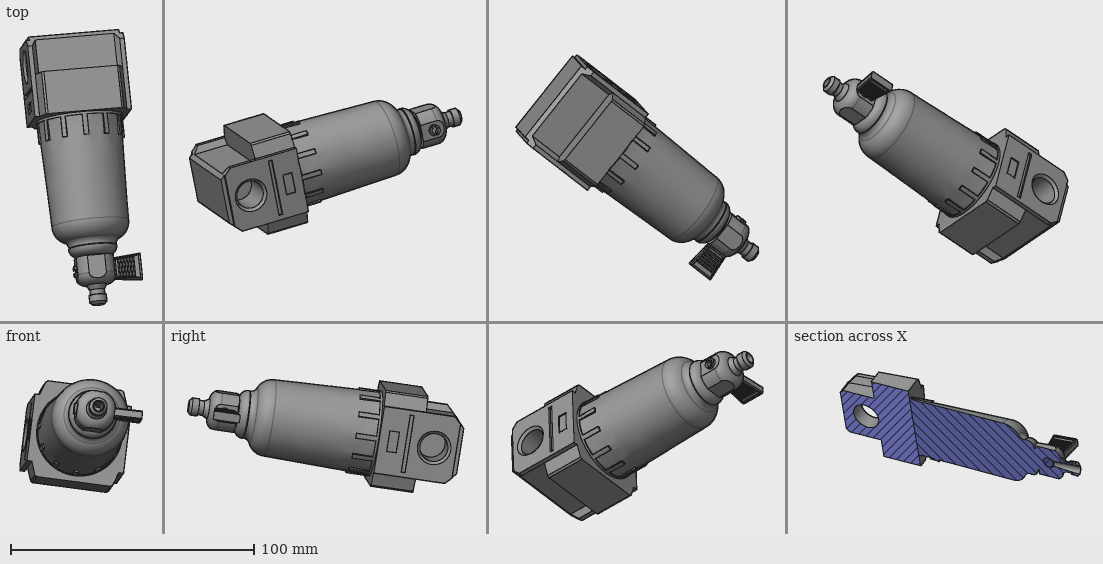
import cadquery as cq
import math


TILT_X, TILT_Y, TILT_Z = -8.4, 7.5, 4.8
HEAD_FACE_CENTRE = (-0.7, 20.5, 1.1)

HEAD_WIDTH = 40.2
HEAD_LENGTH = 34.0
PLATE_HEIGHT = 28.0
PLATE_END_CHAMFER = 4.4
END_STEP_WIDTH = 1.4
END_STEP_DEPTH = 1.7
FLANGE_LENGTH = 17.6
FLANGE_WIDTH = 32.0
FLANGE_EDGE_CHAMFER = 0.7
WAIST_HEIGHT = 22.5
WAIST_FLOOR_WIDTH = 32.7
FLANK_LEAN = 0.35
PLATE_TOP_WIDTH = 1.9
PORT_POSITION = 23.0
PORT_RADIUS = 5.8
PORT_MOUTH_RADIUS = 6.9
PORT_DEPTH = 15.2
GROOVE_POSITION = 11.9
GROOVE_WIDTH = 1.6
GROOVE_HEIGHT = 23.9
GROOVE_DEPTH = 1.0
LABEL_POSITION = 5.8
LABEL_WIDTH = 4.0
LABEL_HEIGHT = 8.6
LABEL_DEPTH = 0.6

RIM_RADIUS = 17.7
RIM_LENGTH = 1.0
BOWL_TOP_RADIUS = 17.3
BOWL_END_RADIUS = 15.9
BOWL_LENGTH = 44.2
BOWL_END_ROUNDING = 7.4
RIB_COUNT = 12
RIB_WIDTH = 2.0
RIB_LENGTH = 9.4
SHOULDER_RADIUS = 11.6
NECK_RADIUS = 9.8
COLLAR_START = 54.1
COLLAR_RADIUS = 10.0
COLLAR_ROUNDING = 3.6

COCK_START = 58.2
COCK_RADIUS = 8.5
COCK_FLAT_DISTANCE = 7.7
COCK_ROUND_START = 65.4
COCK_ROUNDING = 4.3
NOZZLE_ROOT_RADIUS = COCK_RADIUS - COCK_ROUNDING
NOZZLE_RADIUS = 3.1
NOZZLE_WAIST_START = 71.8
BARB_START = 74.0
BARB_RADIUS = 3.6
BARB_CHAMFER_START = 76.8
TIP_RADIUS = 2.4
TIP_POSITION = 77.9
OUTLET_RADIUS = 2.0
OUTLET_DEPTH = 12.5

LEVER_POSITION = 63.6
LEVER_REACH = 19.1
LEVER_ROOT_WIDTH = 8.6
LEVER_END_WIDTH = 10.9
LEVER_THICKNESS = 3.6
LEVER_RIM = 0.8
LEVER_EDGE_CHAMFER = 0.5
GRIP_DEPTH = 0.5
GRIP_RIB_COUNT = 6
GRIP_RIB_WIDTH = 0.6
GRIP_RIB_PITCH = 1.2
PIN_RADIUS = 2.3
PIN_PROTRUSION = 1.0
PIN_BORE_RADIUS = 1.4
PIN_BORE_DEPTH = 2.0
PIN_SLOT_WIDTH = 1.4


def box(x_size, y_size, z_size, centre):
    return cq.Workplane("XY").box(x_size, y_size, z_size).translate(centre)


def rod(radius, x_start, x_end, y):
    """Cylinder along X."""
    return cq.Workplane("YZ", origin=(x_start, y, 0)).circle(radius).extrude(x_end - x_start)


def plate_block():
    block = box(HEAD_WIDTH, HEAD_LENGTH, PLATE_HEIGHT, (0, HEAD_LENGTH / 2, 0))
    block = block.faces(">Y").edges("|X").chamfer(PLATE_END_CHAMFER)
    for side in (1, -1):
        step_corner = (side * HEAD_WIDTH / 2, HEAD_LENGTH, 0)
        block = block.cut(box(2 * END_STEP_WIDTH, 2 * END_STEP_DEPTH, PLATE_HEIGHT, step_corner))
    return block


def flange(side):
    """Trapezoid that widens from its outer face down to the level of the waist."""
    outer_z = HEAD_WIDTH / 2
    base_z = WAIST_HEIGHT / 2
    half_outer = FLANGE_WIDTH / 2
    half_base = half_outer + FLANK_LEAN * (outer_z - base_z)
    outline = [
        (-half_base, side * base_z),
        (half_base, side * base_z),
        (half_outer, side * outer_z),
        (-half_outer, side * outer_z),
    ]
    body = cq.Workplane("XZ").polyline(outline).close().extrude(-FLANGE_LENGTH)
    outer_face = ">Z" if side > 0 else "<Z"
    return body.faces(outer_face).edges("|Y").chamfer(FLANGE_EDGE_CHAMFER)


def waist_recess(side):
    """Space between the plates, with walls that lean outward."""
    rim_z = PLATE_HEIGHT / 2
    floor_z = WAIST_HEIGHT / 2
    half_rim = HEAD_WIDTH / 2 - PLATE_TOP_WIDTH
    half_floor = WAIST_FLOOR_WIDTH / 2
    outline = [
        (-half_floor, side * floor_z),
        (half_floor, side * floor_z),
        (half_rim, side * rim_z),
        (-half_rim, side * rim_z),
    ]
    return cq.Workplane("XZ").polyline(outline).close().extrude(-HEAD_LENGTH)


def port(side):
    """Blind port with a conical mouth."""
    face_x = HEAD_WIDTH / 2
    mouth_depth = PORT_MOUTH_RADIUS - PORT_RADIUS
    outline = [
        (face_x, 0),
        (face_x, PORT_MOUTH_RADIUS),
        (face_x - mouth_depth, PORT_RADIUS),
        (face_x - PORT_DEPTH, PORT_RADIUS),
        (face_x - PORT_DEPTH, 0),
    ]
    points = [(side * x, radius) for x, radius in outline]
    cutter = cq.Workplane("XY").polyline(points).close().revolve(360, (0, 0, 0), (1, 0, 0))
    return cutter.translate((0, PORT_POSITION, 0))


def make_head():
    head = plate_block()
    for side in (1, -1):
        head = head.cut(waist_recess(side)).union(flange(side))
    for side in (1, -1):
        face_x = side * HEAD_WIDTH / 2
        head = head.cut(port(side))
        groove_centre = (face_x, GROOVE_POSITION, 0)
        head = head.cut(box(2 * GROOVE_DEPTH, GROOVE_WIDTH, GROOVE_HEIGHT, groove_centre))
        label_centre = (face_x, LABEL_POSITION, 0)
        head = head.cut(box(2 * LABEL_DEPTH, LABEL_WIDTH, LABEL_HEIGHT, label_centre))
    return head


def bowl_shell():
    """Tapered bowl, its rounded end, the neck and the collar above the drain cock."""
    round_centre = BOWL_END_RADIUS - BOWL_END_ROUNDING
    lean = math.acos((SHOULDER_RADIUS - round_centre) / BOWL_END_ROUNDING)
    shoulder_y = -BOWL_LENGTH - BOWL_END_ROUNDING * math.sin(lean)
    round_mid = (
        round_centre + BOWL_END_ROUNDING * math.cos(lean / 2),
        -BOWL_LENGTH - BOWL_END_ROUNDING * math.sin(lean / 2),
    )
    neck_rounding = (SHOULDER_RADIUS - NECK_RADIUS) / (1 - math.cos(lean))
    neck_end_y = shoulder_y - neck_rounding * math.sin(lean)
    neck_mid = (
        NECK_RADIUS + neck_rounding * (1 - math.cos(lean / 2)),
        neck_end_y + neck_rounding * math.sin(lean / 2),
    )
    collar_centre = COLLAR_RADIUS - COLLAR_ROUNDING
    collar_drop = COLLAR_ROUNDING * math.sqrt(0.5)
    return (
        cq.Workplane("XY")
        .moveTo(0, 0)
        .lineTo(RIM_RADIUS, 0)
        .lineTo(RIM_RADIUS, -RIM_LENGTH)
        .lineTo(BOWL_TOP_RADIUS, -RIM_LENGTH)
        .lineTo(BOWL_END_RADIUS, -BOWL_LENGTH)
        .threePointArc(round_mid, (SHOULDER_RADIUS, shoulder_y))
        .threePointArc(neck_mid, (NECK_RADIUS, neck_end_y))
        .lineTo(COLLAR_RADIUS, -COLLAR_START)
        .threePointArc(
            (collar_centre + collar_drop, -COLLAR_START - collar_drop),
            (collar_centre, -COLLAR_START - COLLAR_ROUNDING),
        )
        .lineTo(0, -COLLAR_START - COLLAR_ROUNDING)
        .close()
        .revolve(360, (0, 0, 0), (0, 1, 0))
    )


def bowl_ribs():
    """Short ribs around the top of the bowl, flush with its rim."""
    bars = cq.Workplane("XY")
    for index in range(RIB_COUNT):
        bar = box(RIB_WIDTH, RIB_LENGTH, RIM_RADIUS, (0, -RIB_LENGTH / 2, RIM_RADIUS / 2))
        bars = bars.union(bar.rotate((0, 0, 0), (0, 1, 0), index * 360 / RIB_COUNT))
    return bars.intersect(cq.Workplane("XZ").circle(RIM_RADIUS).extrude(RIB_LENGTH))


def cock_body():
    """Round-ended drain body with four flats."""
    mid_offset = COCK_ROUNDING * math.sqrt(0.5)
    top_y = -COLLAR_START
    bottom_y = -COCK_ROUND_START - COCK_ROUNDING
    body = (
        cq.Workplane("XY")
        .moveTo(0, -COCK_START)
        .lineTo(COCK_RADIUS, -COCK_START)
        .lineTo(COCK_RADIUS, -COCK_ROUND_START)
        .threePointArc(
            (NOZZLE_ROOT_RADIUS + mid_offset, -COCK_ROUND_START - mid_offset),
            (NOZZLE_ROOT_RADIUS, bottom_y),
        )
        .lineTo(0, bottom_y)
        .close()
        .revolve(360, (0, 0, 0), (0, 1, 0))
    )
    across_flats = 2 * COCK_FLAT_DISTANCE
    flats = box(across_flats, top_y - bottom_y, across_flats, (0, (top_y + bottom_y) / 2, 0))
    neck_radius = COLLAR_RADIUS - COLLAR_ROUNDING
    neck = cq.Workplane("XZ", origin=(0, top_y, 0)).circle(neck_radius).extrude(COCK_START + top_y)
    return body.intersect(flats).union(neck)


def nozzle():
    """Barbed hose nozzle."""
    root_y = -COCK_ROUND_START - COCK_ROUNDING
    outline = [
        (0, -COCK_ROUND_START),
        (NOZZLE_ROOT_RADIUS, -COCK_ROUND_START),
        (NOZZLE_ROOT_RADIUS, root_y),
        (NOZZLE_RADIUS, -NOZZLE_WAIST_START),
        (NOZZLE_RADIUS, -BARB_START),
        (BARB_RADIUS, -BARB_START),
        (BARB_RADIUS, -BARB_CHAMFER_START),
        (TIP_RADIUS, -TIP_POSITION),
        (0, -TIP_POSITION),
    ]
    return cq.Workplane("XY").polyline(outline).close().revolve(360, (0, 0, 0), (0, 1, 0))


def make_bowl():
    bowl = bowl_shell().union(bowl_ribs()).union(cock_body()).union(nozzle())
    outlet = cq.Workplane("XZ", origin=(0, -TIP_POSITION, 0)).circle(OUTLET_RADIUS).extrude(-OUTLET_DEPTH)
    pin_hole = rod(PIN_RADIUS, -COCK_RADIUS, COCK_RADIUS, -LEVER_POSITION)
    return bowl.cut(outlet).cut(pin_hole)


def lever_outline(inset):
    """Corners of the flared lever, drawn in from every side by the inset."""
    root = (COCK_FLAT_DISTANCE + inset, LEVER_ROOT_WIDTH / 2 - inset)
    end = (LEVER_REACH - inset, LEVER_END_WIDTH / 2 - inset)
    corners = [root, end, (end[0], -end[1]), (root[0], -root[1])]
    return [(x, y - LEVER_POSITION) for x, y in corners]


def lever_grip(side):
    """Shallow pocket of a lever face, interrupted by upright ribs."""
    floor_z = side * (LEVER_THICKNESS / 2 - GRIP_DEPTH)
    pocket = (
        cq.Workplane("XY", origin=(0, 0, floor_z))
        .polyline(lever_outline(LEVER_RIM))
        .close()
        .extrude(side * GRIP_DEPTH)
    )
    first_x = COCK_FLAT_DISTANCE + LEVER_RIM + GRIP_RIB_PITCH
    for index in range(GRIP_RIB_COUNT):
        rib_centre = (first_x + index * GRIP_RIB_PITCH, -LEVER_POSITION, 0)
        pocket = pocket.cut(box(GRIP_RIB_WIDTH, LEVER_END_WIDTH, LEVER_THICKNESS, rib_centre))
    return pocket


def lever_pin():
    """Pin through the drain body; its far end is hollow and split."""
    end_x = -COCK_FLAT_DISTANCE - PIN_PROTRUSION
    pin = rod(PIN_RADIUS, end_x, COCK_FLAT_DISTANCE, -LEVER_POSITION)
    bore = rod(PIN_BORE_RADIUS, end_x, end_x + PIN_BORE_DEPTH, -LEVER_POSITION)
    slot_centre = (end_x, -LEVER_POSITION, 0)
    slot = box(2 * PIN_BORE_DEPTH, PIN_SLOT_WIDTH, 2 * PIN_RADIUS, slot_centre)
    return pin.cut(bore).cut(slot)


def make_lever():
    blade = (
        cq.Workplane("XY", origin=(0, 0, -LEVER_THICKNESS / 2))
        .polyline(lever_outline(0))
        .close()
        .extrude(LEVER_THICKNESS)
    )
    blade = blade.faces("|Z").edges("not |Y").chamfer(LEVER_EDGE_CHAMFER)
    for side in (1, -1):
        blade = blade.cut(lever_grip(side))
    return blade.union(lever_pin())


def place(body):
    """Tilt a body about the head's lower face and move it into position."""
    turned = body.rotate((0, 0, 0), (1, 0, 0), TILT_X)
    turned = turned.rotate((0, 0, 0), (0, 1, 0), TILT_Y)
    turned = turned.rotate((0, 0, 0), (0, 0, 1), TILT_Z)
    return turned.translate(HEAD_FACE_CENTRE)


head = place(make_head()).solids()
bowl = place(make_bowl()).solids()
lever = place(make_lever()).solids()

result = cq.Compound.makeCompound([head.val(), bowl.val(), lever.val()])